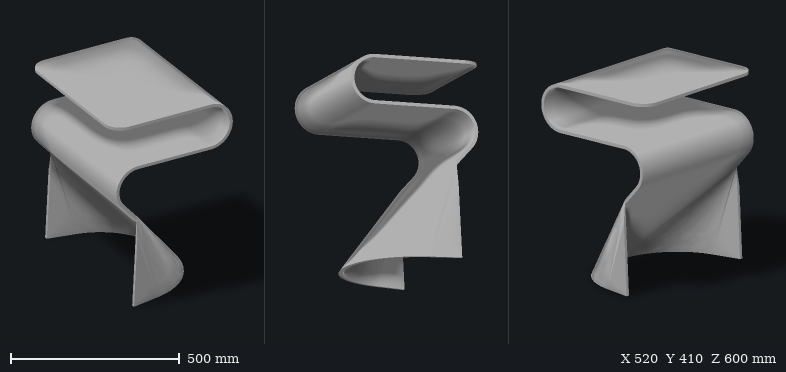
import cadquery as cq
import math

width = 500.0
thickness = 10.0
height = 600.0
top_depth = 410.0
bend_radius = 75.0
lower_bend_y = 325.0
corner_radius = 54.0
plate_angle = 42.0

foot_front_y = 346.0
front_edge_slope = 0.052
ear_height = 222.0
flank_start_inset = 18.0
flank_length = 92.5
curve_fullness = 0.6

half_width = width / 2
outer_half_width = half_width + thickness
inner_radius = bend_radius - thickness
lean = math.radians(plate_angle)
upper_bend_z = height - bend_radius
shelf_bottom_z = height - 2 * bend_radius
lower_bend_z = shelf_bottom_z + thickness - bend_radius


def front_y(z):
    return foot_front_y - front_edge_slope * z


def lower_bend_point(radius, angle):
    return lower_bend_y + radius * math.cos(angle), lower_bend_z + radius * math.sin(angle)


def plate_floor_y(radius):
    """Y where a face of the sloping plate reaches the floor."""
    y, z = lower_bend_point(radius, -lean)
    return y - z * math.tan(lean)


def plate_end_z(radius):
    """Height where a face of the sloping plate meets the front plane."""
    return (foot_front_y - plate_floor_y(radius)) / (math.tan(lean) + front_edge_slope)


def make_ribbon():
    front_end_z = plate_end_z(bend_radius)
    back_end_z = plate_end_z(inner_radius)
    mid_angle = math.radians(90 - plate_angle) / 2
    profile = (
        cq.Workplane("YZ")
        .moveTo(top_depth, height)
        .lineTo(bend_radius, height)
        .threePointArc((0, upper_bend_z), (bend_radius, shelf_bottom_z))
        .lineTo(lower_bend_y, shelf_bottom_z)
        .threePointArc(lower_bend_point(inner_radius, mid_angle), lower_bend_point(inner_radius, -lean))
        .lineTo(front_y(back_end_z), back_end_z)
        .lineTo(front_y(front_end_z), front_end_z)
        .lineTo(*lower_bend_point(bend_radius, -lean))
        .threePointArc(lower_bend_point(bend_radius, mid_angle), (lower_bend_y, shelf_bottom_z + thickness))
        .lineTo(bend_radius, shelf_bottom_z + thickness)
        .threePointArc((thickness, upper_bend_z), (bend_radius, height - thickness))
        .lineTo(top_depth, height - thickness)
        .close()
    )
    ribbon = profile.extrude(half_width, both=True)
    front_corners = cq.selectors.BoxSelector(
        (-width, top_depth - thickness, height - 2 * thickness), (width, top_depth + thickness, height)
    )
    return ribbon.edges("|Z").edges(front_corners).fillet(corner_radius)


def cone_over(base, apex):
    """Solid joining a closed floor outline to one point."""
    cone = cq.occ_impl.shapes.loft(base, cq.Vertex.makeVertex(*apex), cap=True, ruled=True)
    return cq.Workplane(cone)


def cone_over_triangle(a, b, c, apex):
    return cone_over(cq.Wire.makePolygon([cq.Vector(*p) for p in (a, b, c, a)]), apex)


def make_half_hull(radius, foot_x):
    """Solid in front of one face of the legs, for X > 0."""
    rear = cq.Vector(0, plate_floor_y(radius), 0)
    front = cq.Vector(0, foot_front_y, 0)
    foot = cq.Vector(foot_x, foot_front_y, 0)
    flank = foot - cq.Vector(flank_start_inset, flank_length, 0)
    corner_x = flank.x - (flank.y - rear.y) * flank_start_inset / flank_length
    corner = cq.Vector(corner_x, rear.y, 0)
    curve = cq.Edge.makeBezier(
        [rear, rear + (corner - rear) * curve_fullness, flank + (corner - flank) * curve_fullness, flank]
    )
    straights = [cq.Edge.makeLine(a, b) for a, b in ((flank, foot), (foot, front), (front, rear))]
    top_z = plate_end_z(radius)
    apex = (half_width, front_y(top_z), top_z)
    hull = cone_over(cq.Wire.assembleEdges([curve] + straights), apex)
    centre = (0, front_y(top_z), top_z)
    hull = hull.union(cone_over_triangle(rear.toTuple(), front.toTuple(), centre, apex))
    if foot_x > half_width:
        ear = (foot_x, front_y(ear_height), ear_height)
        hull = hull.union(cone_over_triangle(flank.toTuple(), foot.toTuple(), apex, ear))
    return hull


def make_legs():
    outer = make_half_hull(inner_radius, outer_half_width)
    inner = make_half_hull(bend_radius, half_width)
    half = outer.cut(inner)
    return half.union(half.mirror("YZ"))


table = make_ribbon().union(make_legs())
result = table.rotate((0, 0, 0), (0, 0, 1), 180)